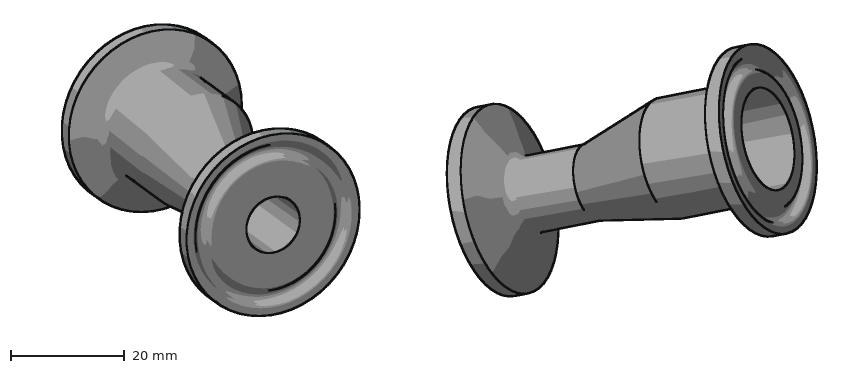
import cadquery as cq
import math


wide_outer_radius = 21.7 / 2
wide_bore_radius = 18.4 / 2
narrow_outer_radius = 13.8 / 2
narrow_bore_radius = 10.5 / 2
axis_offset = wide_outer_radius - narrow_outer_radius

total_length = 58.0
straight_length = 19.9
taper_start = straight_length
taper_end = total_length - straight_length

flange_radius = 34.0 / 2
rim_thickness = 2.85
back_angle = math.radians(20)
neck_fillet_radius = 2.0

groove_centre_radius = 27.5 / 2
groove_half_width = 2.0
groove_depth = 1.6
flank_angle = math.radians(23)
groove_bottom_radius = 1.2


def offset_circle(radius, x, y):
    """Circle across the X direction, centred at the given x and y."""
    return cq.Workplane("YZ", origin=(x, y, 0)).circle(radius)


def cylinder(radius, start, end, y):
    return offset_circle(radius, start, y).extrude(end - start)


def taper(start_radius, end_radius):
    """Oblique cone joining the wide tube to the narrow tube."""
    return (
        offset_circle(start_radius, taper_start, 0)
        .workplane(offset=taper_end - taper_start)
        .center(-axis_offset, 0)
        .circle(end_radius)
        .loft(ruled=True)
    )


def stepped_run(wide_radius, narrow_radius):
    """Wide tube, taper and narrow tube as one solid run."""
    wide = cylinder(wide_radius, 0, taper_start, 0)
    narrow = cylinder(narrow_radius, taper_end, total_length, -axis_offset)
    return wide.union(taper(wide_radius, narrow_radius)).union(narrow)


def revolve_about_x(profile):
    """Close an XY profile and turn it fully about the X axis."""
    return profile.close().revolve(360, (0, 0, 0), (1, 0, 0))


def flange(tube_radius):
    """Clamp flange with its face at x = 0, a conical back and a filleted neck."""
    cone_foot = rim_thickness + (flange_radius - tube_radius) * math.tan(back_angle)
    turn = math.pi / 2 - back_angle
    tangent = neck_fillet_radius * math.tan(turn / 2)
    fillet_end = cone_foot + tangent
    centre_r = tube_radius + neck_fillet_radius

    def fillet_point(angle):
        x = fillet_end - neck_fillet_radius * math.sin(angle)
        return (x, centre_r - neck_fillet_radius * math.cos(angle))

    profile = (
        cq.Workplane("XY")
        .moveTo(0, 0)
        .lineTo(0, flange_radius)
        .lineTo(rim_thickness, flange_radius)
        .lineTo(*fillet_point(turn))
        .threePointArc(fillet_point(turn / 2), fillet_point(0))
        .lineTo(fillet_end, 0)
    )
    return revolve_about_x(profile)


def groove():
    """Ring to cut from a flange face at x = 0."""
    turn = math.pi / 2 - flank_angle
    flank_foot_offset = groove_bottom_radius * math.sin(turn)
    flank_foot_depth = groove_depth - groove_bottom_radius * (1 - math.cos(turn))
    sharp_offset = flank_foot_offset + flank_foot_depth * math.tan(flank_angle)
    lip_radius = (groove_half_width - sharp_offset) / math.tan(turn / 2)

    def lip_point(angle, side):
        offset = groove_half_width - lip_radius * math.sin(angle)
        return (lip_radius * (1 - math.cos(angle)), groove_centre_radius + side * offset)

    def flank_foot(side):
        return (flank_foot_depth, groove_centre_radius + side * flank_foot_offset)

    profile = (
        cq.Workplane("XY")
        .moveTo(*lip_point(0, -1))
        .threePointArc(lip_point(turn / 2, -1), lip_point(turn, -1))
        .lineTo(*flank_foot(-1))
        .threePointArc((groove_depth, groove_centre_radius), flank_foot(1))
        .lineTo(*lip_point(turn, 1))
        .threePointArc(lip_point(turn / 2, 1), lip_point(0, 1))
    )
    return revolve_about_x(profile)


def ferrule(tube_radius):
    """Flange with its gasket groove; the bore is cut later."""
    return flange(tube_radius).cut(groove())


def at_narrow_end(shape):
    """Turn a shape built at x = 0 round to face +X on the narrow tube."""
    return shape.mirror("YZ").translate((total_length, -axis_offset, 0))


wide_ferrule = ferrule(wide_outer_radius)
narrow_ferrule = at_narrow_end(ferrule(narrow_outer_radius))
outside = stepped_run(wide_outer_radius, narrow_outer_radius)
bore = stepped_run(wide_bore_radius, narrow_bore_radius)

result = outside.union(wide_ferrule).union(narrow_ferrule).cut(bore)